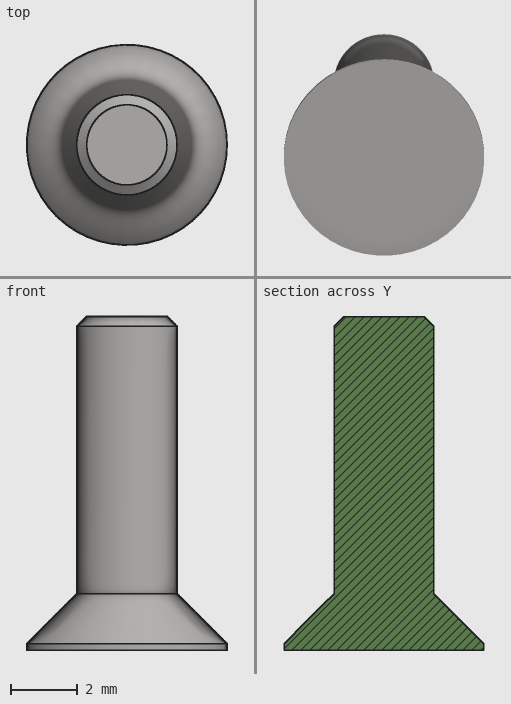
import cadquery as cq

total_length = 10.0
shank_diameter = 3.0
head_diameter = 2 * shank_diameter
rim_height = 0.2
tip_chamfer = 0.3

shank_radius = shank_diameter / 2
head_radius = head_diameter / 2
cone_height = head_radius - shank_radius
head_height = rim_height + cone_height


def make_head():
    """Short cylindrical rim below a cone that narrows to the shank."""
    return (
        cq.Workplane("XZ")
        .lineTo(head_radius, 0)
        .lineTo(head_radius, rim_height)
        .lineTo(shank_radius, head_height)
        .lineTo(0, head_height)
        .close()
        .revolve(360, (0, 0, 0), (0, 1, 0))
    )


def make_shank():
    """Plain cylinder with a chamfered tip."""
    return (
        cq.Workplane("XY")
        .workplane(offset=head_height)
        .circle(shank_radius)
        .extrude(total_length - head_height)
        .faces(">Z")
        .chamfer(tip_chamfer)
    )


result = make_head().union(make_shank())